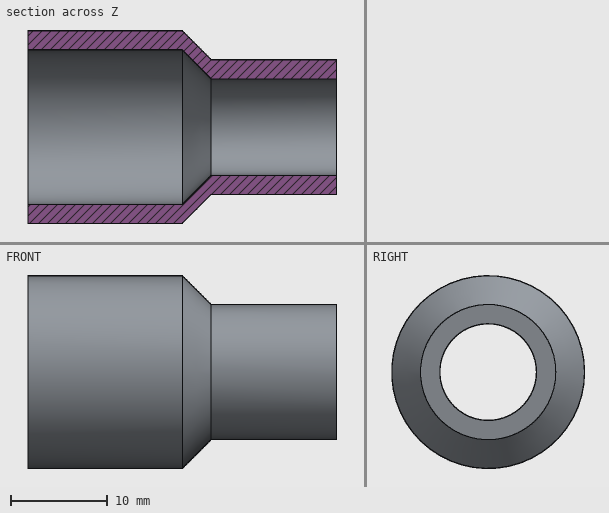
import cadquery as cq

total_length = 32.0
wide_length = total_length / 2
wide_outer_diameter = 20.0
wide_bore_diameter = 16.0
narrow_outer_diameter = 14.0
narrow_bore_diameter = 10.0

taper_length = (wide_outer_diameter - narrow_outer_diameter) / 2
taper_end = wide_length + taper_length


def stepped_body(wide_diameter, narrow_diameter):
    """Solid of revolution about X: wide cylinder, taper, narrow cylinder."""
    wide_radius = wide_diameter / 2
    narrow_radius = narrow_diameter / 2
    profile = [
        (0, 0),
        (0, wide_radius),
        (wide_length, wide_radius),
        (taper_end, narrow_radius),
        (total_length, narrow_radius),
        (total_length, 0),
    ]
    return cq.Workplane("XY").polyline(profile).close().revolve(360, (0, 0, 0), (1, 0, 0))


outer_body = stepped_body(wide_outer_diameter, narrow_outer_diameter)
bore = stepped_body(wide_bore_diameter, narrow_bore_diameter)

result = outer_body.cut(bore)